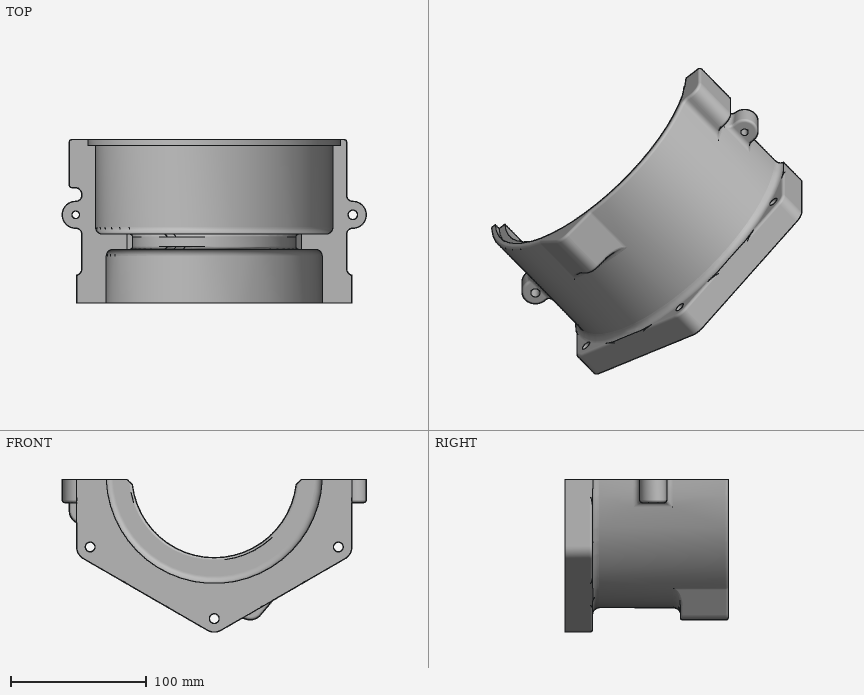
import cadquery as cq
import math

length = 120.45
axis_height = 3.0
overall_width = 224.0
overall_height = 112.5

barrel_radius = 97.6
rear_bore_radius = 87.4
rear_recess_radius = 93.0
rear_recess_depth = 4.3
front_bore_radius = 79.6
web_bore_radius = 60.6
web_front = 39.5
web_rear = 50.8
bore_corner_radius = 5.0
web_rim_radius = 2.0
web_tip_chamfer = 3.6

flange_thickness = 20.4
flange_corner_radius = 10.0
flange_slope = 30.0
flange_bolt_radius = overall_height - flange_corner_radius + axis_height
flange_hole_diameter = 7.0
outer_edge_radius = 2.0
root_radius = 5.0

ear_radius = 10.0
ear_x = overall_width / 2 - ear_radius
ear_y = 65.0
ear_height = 17.2
ear_root_radius = 4.3
upper_margin = 20.0
left_ear_hole_diameter = 5.4
right_ear_hole_diameter = 6.8

pad_front = 84.9
pad_corner_radius = 10.0
side_pad_x = -106.8
side_pad_depth = 33.0
lower_pad_corner_x = 26.4
lower_pad_depth = 103.5
lower_pad_left_slope = 20.0
lower_pad_right_slope = 50.0
lower_pad_left_reach = 30.0
lower_pad_right_reach = 26.0
pad_root_radius = 5.0

tolerance = 0.01

FRONT_PLANE = cq.Plane(origin=(0, 0, 0), xDir=(1, 0, 0), normal=(0, -1, 0))


def prism(outline, y_start, y_end):
    """Extrude an outline drawn in X and Z from y_start to y_end."""
    return outline.extrude(y_start - y_end).translate((0, y_start, 0))


def revolve_about_axis(profile):
    """Turn a (radius, Y) profile about the bore axis."""
    solid = profile.close().revolve(360, (0, 0, 0), (0, 1, 0))
    return solid.translate((0, 0, axis_height))


def flange_bolt_points():
    angles = [math.radians(a) for a in (180 + flange_slope, 270, 360 - flange_slope)]
    return [
        (flange_bolt_radius * math.cos(a), axis_height + flange_bolt_radius * math.sin(a))
        for a in angles
    ]


def flange_prism(y_end):
    """Five-sided flange shape whose rounded corners are centred on the bolt holes."""
    slope = math.radians(flange_slope)
    half_width = flange_bolt_radius * math.cos(slope) + flange_corner_radius
    tip_z = axis_height - flange_bolt_radius - flange_corner_radius / math.cos(slope)
    shoulder_z = tip_z + half_width * math.tan(slope)
    outline = cq.Workplane(FRONT_PLANE).polyline([
        (-half_width, axis_height),
        (-half_width, shoulder_z),
        (0, tip_z),
        (half_width, shoulder_z),
        (half_width, axis_height),
    ]).close()
    below_split = cq.selectors.BoxSelector(
        (-overall_width, -length, -2 * overall_height), (overall_width, length, 0)
    )
    return prism(outline, 0, y_end).edges("|Y").edges(below_split).fillet(flange_corner_radius)


def make_flange():
    flare_end = flange_thickness + root_radius
    bend = root_radius * math.sqrt(0.5)
    root_profile = (
        cq.Workplane("XY").moveTo(0, 0)
        .lineTo(barrel_radius + root_radius, 0)
        .lineTo(barrel_radius + root_radius, flange_thickness)
        .threePointArc(
            (barrel_radius + root_radius - bend, flare_end - bend),
            (barrel_radius, flare_end),
        )
        .lineTo(0, flare_end)
    )
    root = revolve_about_axis(root_profile).intersect(flange_prism(flare_end))
    plate = flange_prism(flange_thickness).faces(">Y").edges().fillet(outer_edge_radius)
    return plate.union(root)


def make_barrel():
    barrel = cq.Workplane(FRONT_PLANE).center(0, axis_height).circle(barrel_radius)
    return prism(barrel, 0, length).rotate((0, 0, axis_height), (0, 1, axis_height), -90)


def make_side_pad():
    outline = (
        cq.Workplane(FRONT_PLANE).moveTo(0, upper_margin)
        .lineTo(side_pad_x, upper_margin)
        .lineTo(side_pad_x, pad_corner_radius - side_pad_depth)
        .radiusArc((side_pad_x + pad_corner_radius, -side_pad_depth), -pad_corner_radius)
        .lineTo(0, -side_pad_depth)
        .close()
    )
    return prism(outline, pad_front, length)


def make_lower_pad():
    left = math.radians(lower_pad_left_slope)
    right = math.radians(lower_pad_right_slope)
    centre_z = pad_corner_radius - lower_pad_depth
    arc_start = (
        lower_pad_corner_x - pad_corner_radius * math.sin(left),
        centre_z - pad_corner_radius * math.cos(left),
    )
    arc_end = (
        lower_pad_corner_x + pad_corner_radius * math.sin(right),
        centre_z - pad_corner_radius * math.cos(right),
    )
    outline = (
        cq.Workplane(FRONT_PLANE)
        .moveTo(
            arc_start[0] - lower_pad_left_reach * math.cos(left),
            arc_start[1] + lower_pad_left_reach * math.sin(left),
        )
        .lineTo(*arc_start)
        .threePointArc((lower_pad_corner_x, -lower_pad_depth), arc_end)
        .lineTo(
            arc_end[0] + lower_pad_right_reach * math.cos(right),
            arc_end[1] + lower_pad_right_reach * math.sin(right),
        )
        .lineTo(0, axis_height)
        .close()
    )
    return prism(outline, pad_front, length)


def make_ear(side):
    """Ear with a round outer end, reaching inward past the barrel surface."""
    outline = (
        cq.Workplane("XY", origin=(0, 0, -ear_height)).moveTo(side * rear_bore_radius, ear_y - ear_radius)
        .lineTo(side * ear_x, ear_y - ear_radius)
        .threePointArc((side * (ear_x + ear_radius), ear_y), (side * ear_x, ear_y + ear_radius))
        .lineTo(side * rear_bore_radius, ear_y + ear_radius)
        .close()
    )
    return outline.extrude(ear_height + upper_margin)


def distances_from_axis(edge):
    """Distances from the bore axis to both ends and the middle of an edge."""
    points = [edge.positionAt(t) for t in (0, 0.5, 1)]
    return [math.hypot(p.x, p.z - axis_height) for p in points]


def runs_around_axis(edge):
    distances = distances_from_axis(edge)
    return max(distances) - min(distances) < tolerance


def lies_on_barrel(edge):
    return runs_around_axis(edge) and abs(distances_from_axis(edge)[0] - barrel_radius) < tolerance


def add_with_root_fillet(body, boss, radius):
    """Join a boss to the barrel and fillet the edges where the two meet."""
    box = boss.val().BoundingBox()
    rear_limit = min(box.ymax + tolerance, length - tolerance)
    body = body.union(boss)
    root_edges = []
    for edge in body.edges().vals():
        middle = edge.positionAt(0.5)
        inside_x = box.xmin - tolerance < middle.x < box.xmax + tolerance
        inside_y = box.ymin - tolerance < middle.y < rear_limit
        inside_z = box.zmin - tolerance < middle.z < box.zmax - tolerance
        if inside_x and inside_y and inside_z and lies_on_barrel(edge):
            root_edges.append(edge)
    return body.newObject(root_edges).fillet(radius)


def round_pad_fronts(body):
    """Round the outer edges of the pad faces that look toward the flange."""
    front_edges = []
    for edge in body.edges().vals():
        box = edge.BoundingBox()
        in_front_face = max(abs(box.ymin - pad_front), abs(box.ymax - pad_front)) < tolerance
        below_top = edge.Center().z < upper_margin - tolerance
        if in_front_face and below_top and not runs_around_axis(edge):
            front_edges.append(edge)
    return body.newObject(front_edges).fillet(outer_edge_radius)


def round_ear_bottoms(body):
    """Round the free edges of the ear undersides."""
    bottom_edges = []
    for edge in body.edges().vals():
        box = edge.BoundingBox()
        level = max(abs(box.zmin + ear_height), abs(box.zmax + ear_height)) < tolerance
        beside_ear = abs(edge.Center().y - ear_y) < ear_radius + tolerance
        across = box.ylen < tolerance or edge.geomType() == "CIRCLE"
        if level and beside_ear and across:
            bottom_edges.append(edge)
    return body.newObject(bottom_edges).fillet(outer_edge_radius)


def cut_bores(body):
    profile = (
        cq.Workplane("XY").moveTo(0, 0)
        .lineTo(front_bore_radius, 0)
        .lineTo(front_bore_radius, web_front - bore_corner_radius)
        .radiusArc((front_bore_radius - bore_corner_radius, web_front), -bore_corner_radius)
        .lineTo(web_bore_radius + web_rim_radius, web_front)
        .radiusArc((web_bore_radius, web_front + web_rim_radius), web_rim_radius)
        .lineTo(web_bore_radius, web_rear - web_rim_radius)
        .radiusArc((web_bore_radius + web_rim_radius, web_rear), web_rim_radius)
        .lineTo(rear_bore_radius - bore_corner_radius, web_rear)
        .radiusArc((rear_bore_radius, web_rear + bore_corner_radius), -bore_corner_radius)
        .lineTo(rear_bore_radius, length - rear_recess_depth)
        .lineTo(rear_recess_radius, length - rear_recess_depth)
        .lineTo(rear_recess_radius, length)
        .lineTo(0, length)
    )
    return body.cut(revolve_about_axis(profile))


def chamfer_web_tips(body):
    """Bevel the two corners where the web meets the split face."""
    outer_x = web_bore_radius + web_tip_chamfer
    inner_x = outer_x - 2 * web_tip_chamfer
    for side in (-1, 1):
        wedge = cq.Workplane(FRONT_PLANE).polyline([
            (side * outer_x, 0),
            (side * inner_x, 0),
            (side * inner_x, inner_x - outer_x),
        ]).close()
        body = body.cut(prism(wedge, web_front, web_rear))
    return body


def drill_holes(body):
    for x, z in flange_bolt_points():
        hole = cq.Workplane(FRONT_PLANE).center(x, z).circle(flange_hole_diameter / 2)
        body = body.cut(prism(hole, 0, length))
    for x, diameter in ((-ear_x, left_ear_hole_diameter), (ear_x, right_ear_hole_diameter)):
        hole = cq.Workplane("XY").center(x, ear_y).circle(diameter / 2)
        body = body.cut(hole.extrude(2 * ear_height, both=True))
    return body


def split(body):
    """Keep only the half below the split face."""
    upper = cq.Workplane("XY").box(
        2 * overall_width, 4 * length, 2 * overall_height, centered=(True, True, False)
    )
    return body.cut(upper)


def make_outer_body():
    body = add_with_root_fillet(make_barrel(), make_side_pad(), pad_root_radius)
    body = add_with_root_fillet(body, make_lower_pad(), pad_root_radius)
    body = round_pad_fronts(body)
    body = body.faces(">Y").edges().fillet(outer_edge_radius)
    for side in (-1, 1):
        body = add_with_root_fillet(body, make_ear(side), ear_root_radius)
    body = round_ear_bottoms(body)
    return body.union(make_flange())


result = make_outer_body()
result = cut_bores(result)
result = drill_holes(result)
result = split(result)
result = chamfer_web_tips(result)